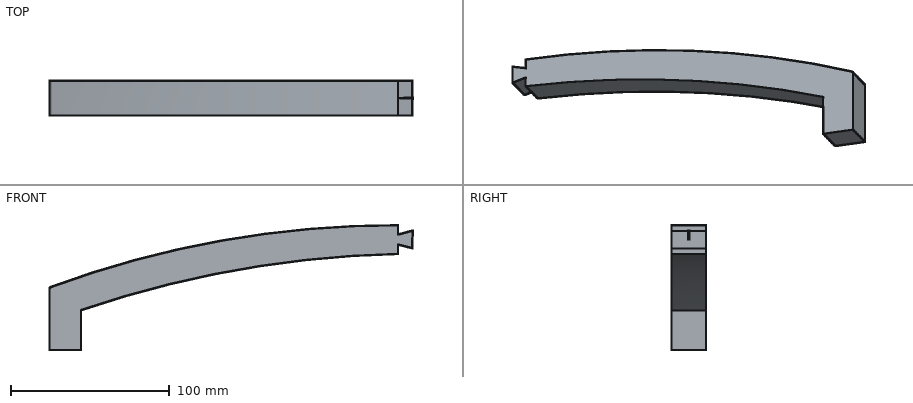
import cadquery as cq
import math

WIDTH = 22.0
BODY_LENGTH = 219.5
PEAK_HEIGHT = 78.61
LEG_WIDTH = 20.0

UPPER_RADIUS = 625.0
UPPER_CENTER_X = 218.0
UPPER_CENTER_Z = PEAK_HEIGHT - UPPER_RADIUS
LOWER_RADIUS = 660.0
LOWER_CENTER_X = 233.6
LOWER_CENTER_Z = -599.45
CORNER_RADIUS = 1.5

TONGUE_LENGTH = 8.9
TONGUE_ROOT_HEIGHT = 6.5
TONGUE_TIP_HEIGHT = 11.0

RIB_ROOT_WIDTH = 0.1
RIB_TIP_WIDTH = 0.9
RIB_TIP_RISE = 0.3
PART_LENGTH = 228.93


def upper_z(x):
    """Height of the arm's upper arc at x."""
    return UPPER_CENTER_Z + math.sqrt(UPPER_RADIUS**2 - (x - UPPER_CENTER_X) ** 2)


def lower_z(x):
    """Height of the arm's lower arc at x."""
    return LOWER_CENTER_Z + math.sqrt(LOWER_RADIUS**2 - (x - LOWER_CENTER_X) ** 2)


END_MIDDLE_Z = (upper_z(BODY_LENGTH) + lower_z(BODY_LENGTH)) / 2
TONGUE_END_X = BODY_LENGTH + TONGUE_LENGTH


def side_profile():
    """Sketch plane of the side outline, at mid-width (Y = 0)."""
    return cq.Workplane("XZ")


def make_body():
    """Leg and curved arm as one plate, with the outer corner rounded."""
    upper_middle_x = BODY_LENGTH / 2
    lower_middle_x = (LEG_WIDTH + BODY_LENGTH) / 2
    body = (
        side_profile()
        .moveTo(0, 0)
        .lineTo(0, upper_z(0))
        .threePointArc((upper_middle_x, upper_z(upper_middle_x)), (BODY_LENGTH, upper_z(BODY_LENGTH)))
        .lineTo(BODY_LENGTH, lower_z(BODY_LENGTH))
        .threePointArc((lower_middle_x, lower_z(lower_middle_x)), (LEG_WIDTH, lower_z(LEG_WIDTH)))
        .lineTo(LEG_WIDTH, 0)
        .close()
        .extrude(WIDTH / 2, both=True)
    )
    outer_corner = cq.selectors.NearestToPointSelector((0, 0, upper_z(0)))
    return body.edges("|Y").edges(outer_corner).fillet(CORNER_RADIUS)


def make_tongue():
    """Dovetail that widens away from the end face."""
    return (
        side_profile()
        .moveTo(BODY_LENGTH, END_MIDDLE_Z - TONGUE_ROOT_HEIGHT / 2)
        .lineTo(TONGUE_END_X, END_MIDDLE_Z - TONGUE_TIP_HEIGHT / 2)
        .lineTo(TONGUE_END_X, END_MIDDLE_Z + TONGUE_TIP_HEIGHT / 2)
        .lineTo(BODY_LENGTH, END_MIDDLE_Z + TONGUE_ROOT_HEIGHT / 2)
        .close()
        .extrude(WIDTH / 2, both=True)
    )


def make_rib():
    """Thin wedge that rises and widens from the tongue's root to just past its tip."""
    root_z = END_MIDDLE_Z + TONGUE_ROOT_HEIGHT / 2
    tip_z = END_MIDDLE_Z + TONGUE_TIP_HEIGHT / 2
    rising_plate = (
        side_profile()
        .moveTo(BODY_LENGTH, root_z)
        .lineTo(PART_LENGTH, tip_z + RIB_TIP_RISE)
        .lineTo(TONGUE_END_X, END_MIDDLE_Z)
        .lineTo(BODY_LENGTH, END_MIDDLE_Z)
        .close()
        .extrude(RIB_TIP_WIDTH, both=True)
    )
    widening_plan = (
        cq.Workplane("XY")
        .moveTo(BODY_LENGTH, -RIB_ROOT_WIDTH / 2)
        .lineTo(PART_LENGTH, -RIB_TIP_WIDTH / 2)
        .lineTo(PART_LENGTH, RIB_TIP_WIDTH / 2)
        .lineTo(BODY_LENGTH, RIB_ROOT_WIDTH / 2)
        .close()
        .extrude(PEAK_HEIGHT)
    )
    return rising_plate.intersect(widening_plan)


result = make_body().union(make_tongue()).union(make_rib())